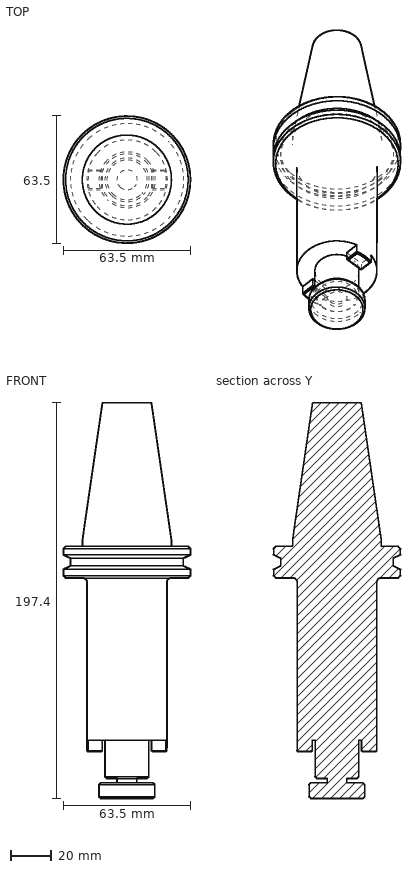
import cadquery as cq


gauge_diameter = 44.45
taper_ratio = 7 / 24
taper_length = 68.4
tip_round = 0.8
collar_fillet = 0.5

flange_diameter = 63.5
flange_top = -3.2
flange_bottom = -19.05
flange_chamfer = 1.2
groove_floor_diameter = 56.36
groove_middle = -11.1
groove_mouth_width = 7.1
groove_floor_width = 3.75

body_diameter = 40.0
body_bottom = -100.0
body_fillet = 2.0

key_width = 10.0
key_height = 5.6
key_inner_distance = 12.2
key_chamfer = 0.6

pilot_diameter = 22.0
pilot_length = 19.0
pilot_chamfer = 1.0

screw_neck_diameter = 10.0
screw_head_diameter = 28.0
screw_head_height = 8.0
screw_head_chamfer = 1.0
overall_length = 197.4

pilot_bottom = body_bottom - pilot_length
screw_bottom = taper_length - overall_length
screw_head_top = screw_bottom + screw_head_height


def cylinder(diameter, bottom, top):
    """Solid cylinder on the Z axis between two heights."""
    return cq.Workplane("XY").workplane(offset=bottom).circle(diameter / 2).extrude(top - bottom)


def make_shank():
    """Tapered cone on a short collar with a concave fillet where it meets the flange."""
    gauge_radius = gauge_diameter / 2
    tip_radius = gauge_radius - taper_length * taper_ratio / 2
    profile = (
        cq.Workplane("XZ")
        .moveTo(0, flange_top)
        .lineTo(gauge_radius + collar_fillet, flange_top)
        .radiusArc((gauge_radius, flange_top + collar_fillet), collar_fillet)
        .lineTo(gauge_radius, 0)
        .lineTo(tip_radius, taper_length)
        .lineTo(0, taper_length)
        .close()
    )
    return profile.revolve(360, (0, 0, 0), (0, 1, 0)).faces(">Z").edges().fillet(tip_round)


def make_flange():
    """Chamfered disc with a V-groove around its rim."""
    disc = cylinder(flange_diameter, flange_bottom, flange_top)
    disc = disc.faces("<Z or >Z").edges().chamfer(flange_chamfer)
    rim_radius = flange_diameter / 2
    floor_radius = groove_floor_diameter / 2
    half_mouth = groove_mouth_width / 2
    half_floor = groove_floor_width / 2
    groove = (
        cq.Workplane("XZ")
        .moveTo(rim_radius, groove_middle - half_mouth)
        .lineTo(floor_radius, groove_middle - half_floor)
        .lineTo(floor_radius, groove_middle + half_floor)
        .lineTo(rim_radius, groove_middle + half_mouth)
        .close()
        .revolve(360, (0, 0, 0), (0, 1, 0))
    )
    return disc.cut(groove)


def make_body():
    """Cylindrical body with a concave fillet under the flange."""
    radius = body_diameter / 2
    fillet_profile = (
        cq.Workplane("XZ")
        .moveTo(0, flange_bottom)
        .lineTo(radius + body_fillet, flange_bottom)
        .radiusArc((radius, flange_bottom - body_fillet), -body_fillet)
        .lineTo(0, flange_bottom - body_fillet)
        .close()
    )
    fillet_ring = fillet_profile.revolve(360, (0, 0, 0), (0, 1, 0))
    return cylinder(body_diameter, body_bottom, flange_bottom).union(fillet_ring)


def make_key(side):
    """Drive key at +X (side = 1) or -X (side = -1), its outer face flush with the body."""
    key_bottom = body_bottom - key_height
    radial_length = body_diameter / 2 - key_inner_distance
    block = (
        cq.Workplane("XY")
        .workplane(offset=key_bottom)
        .center(side * (key_inner_distance + radial_length / 2), 0)
        .rect(radial_length, key_width)
        .extrude(key_height)
    )
    key = block.intersect(cylinder(body_diameter, key_bottom, body_bottom))
    return key.faces("<Z").edges().chamfer(key_chamfer)


def make_pilot():
    """Locating spigot for the cutter bore."""
    pilot = cylinder(pilot_diameter, pilot_bottom, body_bottom)
    return pilot.faces("<Z").edges().chamfer(pilot_chamfer)


def make_screw():
    """Clamping screw: exposed neck and chamfered head."""
    neck = cylinder(screw_neck_diameter, screw_head_top, pilot_bottom)
    head = cylinder(screw_head_diameter, screw_bottom, screw_head_top)
    head = head.faces("<Z or >Z").edges().chamfer(screw_head_chamfer)
    return neck.union(head)


result = make_shank().union(make_flange()).union(make_body()).union(make_pilot()).union(make_screw())
for key_side in (-1, 1):
    result = result.union(make_key(key_side))